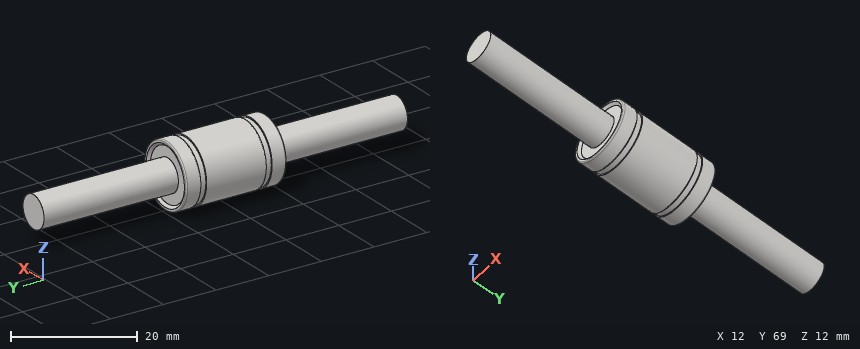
import cadquery as cq

shaft_length = 69.0
shaft_diameter = 6.0

sleeve_length = 19.0
sleeve_diameter = 12.0
edge_radius = 0.2

groove_diameter = 11.5
groove_width = 1.1
groove_outer_span = 13.5

seal_diameter = 9.9
recess_depth = 0.5
recess_mouth_diameter = seal_diameter + 2 * recess_depth


def cylinder_along_y(diameter, length, center_y=0):
    """Solid cylinder on the Y axis, centred at center_y."""
    start = cq.Vector(0, center_y - length / 2, 0)
    cylinder = cq.Solid.makeCylinder(diameter / 2, length, pnt=start, dir=cq.Vector(0, 1, 0))
    return cq.Workplane(obj=cylinder)


def ring_groove(center_y):
    """Ring of material to remove for one retaining ring groove."""
    blank = cylinder_along_y(sleeve_diameter, groove_width, center_y)
    core = cylinder_along_y(groove_diameter, groove_width, center_y)
    return blank.cut(core)


def end_recess(side):
    """Cone to remove from the sleeve end on the given side of Y (+1 or -1)."""
    cone = cq.Solid.makeCone(
        recess_mouth_diameter / 2,
        seal_diameter / 2,
        recess_depth,
        pnt=cq.Vector(0, side * sleeve_length / 2, 0),
        dir=cq.Vector(0, -side, 0),
    )
    return cq.Workplane(obj=cone)


sleeve = cylinder_along_y(sleeve_diameter, sleeve_length)
sleeve = sleeve.faces("<Y or >Y").edges().fillet(edge_radius)

groove_offset = (groove_outer_span - groove_width) / 2
for side in (-1, 1):
    sleeve = sleeve.cut(ring_groove(side * groove_offset))
    sleeve = sleeve.cut(end_recess(side))

result = sleeve.union(cylinder_along_y(shaft_diameter, shaft_length))